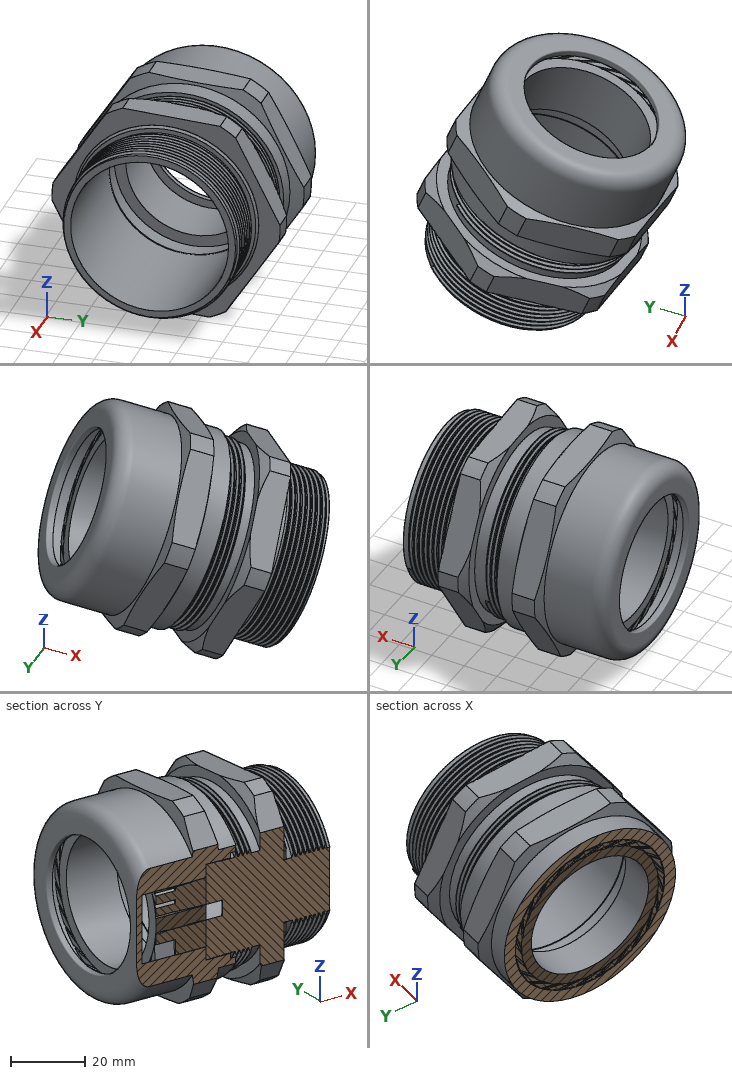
import cadquery as cq


GLAND_LENGTH = 63.85
LIP_LENGTH = 1.9
SEAL_FRONT_X = 6.4
NUT_HEX_START = 18.4
SEAL_REAR_X = 23.1
NUT_HEX_END = 27.2
POCKET_END_X = 28.35
THREAD_RELIEF_X = 31.1
NUT_REAR_X = 32.85
FITTING_HEX_START = 40.8
FITTING_HEX_END = 48.85

HEX_ACROSS_FLATS = 58.0
HEX_TURN = 27.0
FITTING_CORNER_RADIUS = 32.1
NUT_CORNER_RADIUS = 31.9
FITTING_CHAMFER_RADIUS = 29.45
FITTING_CHAMFER_LENGTH = 1.9
NUT_CHAMFER_LENGTH = 0.95

NUT_RADIUS = 56.5 / 2
DOME_FILLET = 4.35
LIP_RADIUS = 38.75 / 2
LIP_FILLET = 0.4
THREAD_RELIEF_RADIUS = 54.2 / 2

CLAW_RADIUS = 48.9 / 2
SEAL_RADIUS = 44.9 / 2
SEAL_BORE_RADIUS = 38.4 / 2
FINGER_COUNT = 24
SLOT_PHASE = -2.3
SLOT_WIDTH = 0.5
SLOT_DEPTH = 6.4
SLOT_OFFSET = 21.8
SLOT_INNER_END = 2.55
SLOT_OUTER_END = 12.2

NECK_RADIUS = 52.5 / 2
NECK_CREST_RADIUS = 54.0 / 2
ENTRY_ROOT_RADIUS = 48.3 / 2
ENTRY_CREST_RADIUS = 49.55 / 2
FITTING_BORE_RADIUS = 44.4 / 2

EIGHT_TURN_LENGTH = 12.0
THREAD_PITCH = EIGHT_TURN_LENGTH / 8
THREAD_BASE_WIDTH = 1.15
THREAD_CREST_WIDTH = 0.2
THREAD_EMBED = 0.2
THREAD_START_ANGLE = -60.0
FUSE_TOLERANCE = 0.001
NECK_THREAD_START = 32.0
NECK_THREAD_TURNS = 4.1
ENTRY_THREAD_START = 50.95
ENTRY_THREAD_TURNS = 8.1

GASKET_RADIUS = 52.25 / 2
GASKET_THICKNESS = 0.7
GASKET_CHAMFER = 0.65


def rod(start, end, radius):
    """Plain cylinder on the X axis."""
    return cq.Workplane("YZ", origin=(start, 0, 0)).circle(radius).extrude(end - start)


def tube(start, end, outer, inner):
    """Plain ring around the X axis."""
    return rod(start, end, outer).cut(rod(start, end, inner))


def turned(profile):
    """Solid of revolution from (x, radius) points."""
    return cq.Workplane("XY").polyline(profile).close().revolve(360, (0, 0, 0), (1, 0, 0))


def hexagon(start, end, corner_radius, face_radius, front_chamfer, rear_chamfer):
    """Hexagonal collar with turned-down corners and conical end chamfers."""
    prism = (
        cq.Workplane("YZ", origin=(start, 0, 0))
        .polygon(6, HEX_ACROSS_FLATS, circumscribed=True)
        .extrude(end - start)
        .rotate((0, 0, 0), (1, 0, 0), HEX_TURN)
    )
    outline = [(start, 0)]
    if front_chamfer:
        outline.append((start, face_radius))
    outline.append((start + front_chamfer, corner_radius))
    outline.append((end - rear_chamfer, corner_radius))
    if rear_chamfer:
        outline.append((end, face_radius))
    outline.append((end, 0))
    return prism.intersect(turned(outline))


def thread_ridge(start, turns, root, crest):
    """Right-hand helical ridge whose crest starts at x = start."""
    foot = root - THREAD_EMBED
    path = cq.Wire.makeHelix(THREAD_PITCH, turns * THREAD_PITCH, foot)
    section = (
        cq.Workplane("XZ")
        .moveTo(foot, -THREAD_BASE_WIDTH / 2)
        .lineTo(root, -THREAD_BASE_WIDTH / 2)
        .lineTo(crest, -THREAD_CREST_WIDTH / 2)
        .lineTo(crest, THREAD_CREST_WIDTH / 2)
        .lineTo(root, THREAD_BASE_WIDTH / 2)
        .lineTo(foot, THREAD_BASE_WIDTH / 2)
        .close()
    )
    ridge = section.sweep(cq.Workplane(path), isFrenet=True)
    ridge = ridge.rotate((0, 0, 0), (1, 1, 1), 120).translate((start, 0, 0))
    return ridge.rotate((0, 0, 0), (1, 0, 0), THREAD_START_ANGLE)


def make_nut():
    """Domed nut with an inner lip, a claw seat and a relief around the first turn of the neck thread."""
    nut = rod(0, NUT_REAR_X, NUT_RADIUS).faces("<X").edges().fillet(DOME_FILLET)
    nut = nut.union(
        hexagon(
            NUT_HEX_START, NUT_HEX_END, NUT_CORNER_RADIUS, NUT_RADIUS, NUT_CHAMFER_LENGTH, NUT_CHAMFER_LENGTH
        )
    )
    nut = nut.cut(rod(0, LIP_LENGTH, LIP_RADIUS))
    nut = nut.cut(rod(LIP_LENGTH, SEAL_REAR_X, CLAW_RADIUS))
    nut = nut.cut(rod(SEAL_REAR_X, NUT_REAR_X, NECK_RADIUS))
    nut = nut.cut(rod(THREAD_RELIEF_X, NUT_REAR_X, THREAD_RELIEF_RADIUS))
    lip_edge = cq.selectors.RadiusNthSelector(0)
    return nut.faces("<X").edges(lip_edge).fillet(LIP_FILLET)


def make_claw():
    """Ring whose front is divided into overlapping fingers by slots that lean away from the radius."""
    claw = tube(SEAL_FRONT_X, SEAL_REAR_X, CLAW_RADIUS, SEAL_RADIUS)
    slot = (
        cq.Workplane("YZ", origin=(SEAL_FRONT_X, 0, 0))
        .center(SLOT_OFFSET, (SLOT_INNER_END + SLOT_OUTER_END) / 2)
        .rect(SLOT_WIDTH, SLOT_OUTER_END - SLOT_INNER_END)
        .extrude(SLOT_DEPTH)
    )
    for index in range(FINGER_COUNT):
        angle = SLOT_PHASE + 360 / FINGER_COUNT * index
        claw = claw.cut(slot.rotate((0, 0, 0), (1, 0, 0), angle))
    return claw


def make_seal():
    """Plain sleeve inside the claw."""
    return tube(SEAL_FRONT_X, SEAL_REAR_X, SEAL_RADIUS, SEAL_BORE_RADIUS)


def make_fitting():
    """Hollow body with a neck, a hexagon and two outside threads."""
    fitting = rod(SEAL_REAR_X, FITTING_HEX_START, NECK_RADIUS)
    fitting = fitting.union(
        hexagon(
            FITTING_HEX_START,
            FITTING_HEX_END,
            FITTING_CORNER_RADIUS,
            FITTING_CHAMFER_RADIUS,
            FITTING_CHAMFER_LENGTH,
            0,
        )
    )
    fitting = fitting.union(rod(FITTING_HEX_END, GLAND_LENGTH, ENTRY_ROOT_RADIUS))
    fitting = fitting.cut(rod(SEAL_REAR_X, POCKET_END_X, SEAL_RADIUS))
    fitting = fitting.cut(rod(POCKET_END_X, GLAND_LENGTH, FITTING_BORE_RADIUS))
    neck_thread = thread_ridge(NECK_THREAD_START, NECK_THREAD_TURNS, NECK_RADIUS, NECK_CREST_RADIUS)
    entry_thread = thread_ridge(
        ENTRY_THREAD_START, ENTRY_THREAD_TURNS, ENTRY_ROOT_RADIUS, ENTRY_CREST_RADIUS
    )
    fitting = fitting.union(neck_thread, tol=FUSE_TOLERANCE)
    return fitting.union(entry_thread, tol=FUSE_TOLERANCE)


def make_gasket():
    """Ring with one chamfered edge, against the rear of the fitting hexagon."""
    gasket = tube(
        FITTING_HEX_END, FITTING_HEX_END + GASKET_THICKNESS, GASKET_RADIUS, ENTRY_ROOT_RADIUS
    )
    outer_edge = cq.selectors.RadiusNthSelector(-1)
    return gasket.faces(">X").edges(outer_edge).chamfer(GASKET_CHAMFER)


nut = make_nut()
claw = make_claw()
seal = make_seal()
fitting = make_fitting()
gasket = make_gasket()

result = cq.Compound.makeCompound([nut.val(), claw.val(), seal.val(), fitting.val(), gasket.val()])